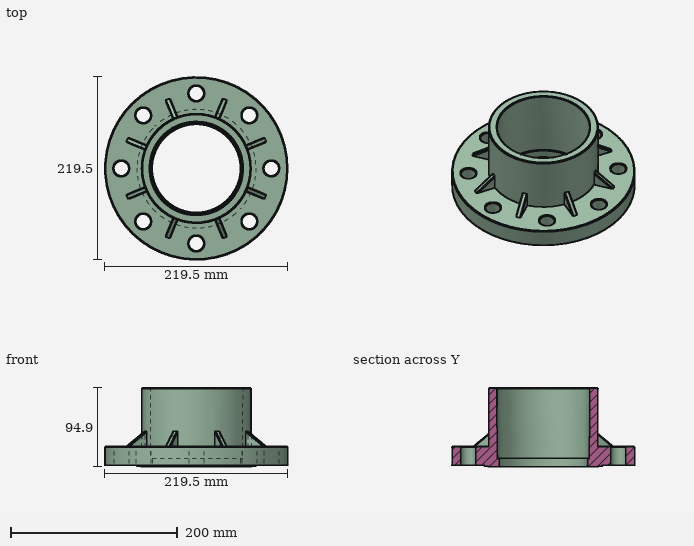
import cadquery as cq

flange_diameter = 219.5
flange_bottom = 2.0
flange_top = 24.5
flange_chamfer = 1.0

gasket_face_diameter = 142.7
gasket_face_bottom = 0.7
gasket_face_fillet = 1.0
inner_face_diameter = 131.8

overall_height = 94.9
hub_diameter = 131.5
hub_chamfer = 1.0

bore_diameter = 105.8
socket_mouth_diameter = 111.1
socket_root_diameter = 110.0
socket_depth = 84.5
socket_chamfer = 0.9

bolt_count = 8
bolt_circle_diameter = 180.0
bolt_hole_diameter = 17.8
bolt_hole_chamfer = 1.0

rib_count = bolt_count
rib_thickness = 6.1
rib_top = 43.0
rib_outer_radius = 89.8
rib_edge_chamfer = 0.9
rib_overlap = 2.2


def disc(diameter, bottom, top):
    return cq.Workplane("XY").workplane(offset=bottom).circle(diameter / 2).extrude(top - bottom)


def cone(bottom_diameter, top_diameter, bottom, top):
    solid = cq.Solid.makeCone(bottom_diameter / 2, top_diameter / 2, top - bottom, cq.Vector(0, 0, bottom))
    return cq.Workplane(obj=solid)


def make_flange():
    plate = disc(flange_diameter, flange_bottom, flange_top).faces(">Z").chamfer(flange_chamfer)
    gasket_face = disc(gasket_face_diameter, gasket_face_bottom, flange_top - flange_chamfer)
    gasket_face = gasket_face.faces("<Z").edges().fillet(gasket_face_fillet)
    inner_face = disc(inner_face_diameter, 0, flange_top - flange_chamfer)
    return plate.union(gasket_face).union(inner_face)


def make_hub():
    hub = disc(hub_diameter, flange_top, overall_height)
    return hub.faces(">Z").chamfer(hub_chamfer)


def make_rib():
    """Triangular rib along +X, with its root buried in the hub and its foot in the plate."""
    hub_radius = hub_diameter / 2
    slope = (rib_top - flange_top) / (rib_outer_radius - hub_radius)
    inner_x = hub_radius - rib_overlap
    outer_x = rib_outer_radius + rib_overlap
    foot_z = flange_top - slope * rib_overlap
    rib = (
        cq.Workplane("XZ")
        .moveTo(inner_x, foot_z)
        .lineTo(outer_x, foot_z)
        .lineTo(inner_x, rib_top + slope * rib_overlap)
        .close()
        .extrude(rib_thickness / 2, both=True)
    )
    slope_edges = rib.faces(">(1, 0, 1)").edges("not |Y")
    return slope_edges.chamfer(rib_edge_chamfer)


def make_socket():
    ledge = overall_height - socket_depth
    taper = cone(socket_root_diameter, socket_mouth_diameter, ledge, overall_height)
    mouth = cone(
        socket_mouth_diameter,
        socket_mouth_diameter + 2 * socket_chamfer,
        overall_height - socket_chamfer,
        overall_height,
    )
    bore = disc(bore_diameter, 0, overall_height)
    return bore.union(taper).union(mouth)


def make_bolt_hole():
    hole = disc(bolt_hole_diameter, 0, flange_top)
    countersink = cone(
        bolt_hole_diameter,
        bolt_hole_diameter + 2 * bolt_hole_chamfer,
        flange_top - bolt_hole_chamfer,
        flange_top,
    )
    return hole.union(countersink).translate((bolt_circle_diameter / 2, 0, 0))


def turned(shape, angle):
    return shape.rotate((0, 0, 0), (0, 0, 1), angle)


result = make_flange().union(make_hub())

rib = make_rib()
for i in range(rib_count):
    result = result.union(turned(rib, (i + 0.5) * 360 / rib_count))

result = result.cut(make_socket())

bolt_hole = make_bolt_hole()
for i in range(bolt_count):
    result = result.cut(turned(bolt_hole, i * 360 / bolt_count))